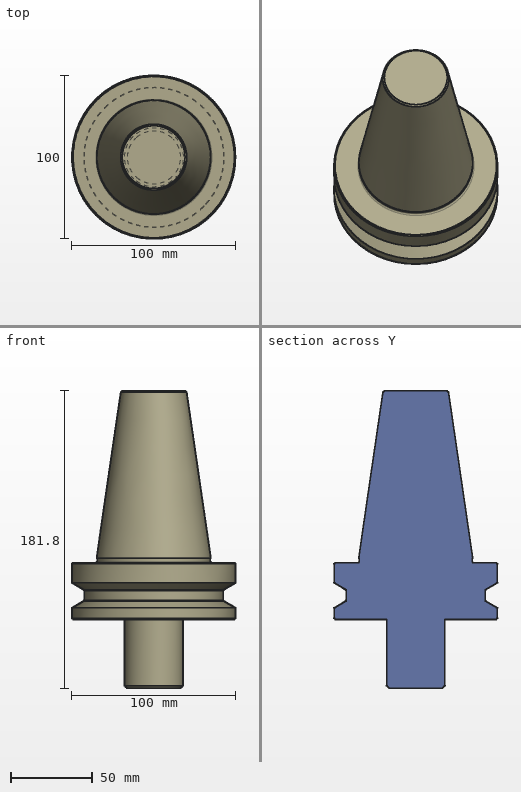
import cadquery as cq
import math

pin_length = 42.0
flange_height = 34.9
collar_height = 3.0
total_height = 181.8

gauge_radius = 34.9
taper_ratio = 7 / 24
gauge_land_height = 0.5
collar_radius = 34.5
collar_foot_radius = 0.9
tip_chamfer = 0.9

flange_radius = 50.0
lower_flange_chamfer = 0.9
upper_flange_chamfer = 0.7
lower_rim_height = 7.3
groove_floor_radius = 42.5
groove_floor_height = 6.5
groove_corner_radius = 0.5
groove_flank_angle = 30.0

pin_radius = 18.0
pin_chamfer = 1.8

flange_top = pin_length + flange_height
gauge_level = flange_top + collar_height
land_bottom = gauge_level - gauge_land_height
tip_radius = gauge_radius - (total_height - gauge_level) * taper_ratio / 2
flank_height = (flange_radius - groove_floor_radius) * math.tan(math.radians(groove_flank_angle))
groove_bottom = pin_length + lower_rim_height
groove_floor_bottom = groove_bottom + flank_height
groove_floor_top = groove_floor_bottom + groove_floor_height
groove_top = groove_floor_top + flank_height

pin_profile = [
    (0, 0),
    (pin_radius - pin_chamfer, 0),
    (pin_radius, pin_chamfer),
    (pin_radius, pin_length),
]
flange_profile = [
    (flange_radius - lower_flange_chamfer, pin_length),
    (flange_radius, pin_length + lower_flange_chamfer),
    (flange_radius, groove_bottom),
    (groove_floor_radius, groove_floor_bottom),
    (groove_floor_radius, groove_floor_top),
    (flange_radius, groove_top),
    (flange_radius, flange_top - upper_flange_chamfer),
    (flange_radius - upper_flange_chamfer, flange_top),
]
taper_profile = [
    (collar_radius, flange_top),
    (collar_radius, land_bottom),
    (gauge_radius, land_bottom),
    (gauge_radius, gauge_level),
    (tip_radius, total_height),
    (0, total_height),
]


def ring_edges(radius, height, margin=0.2):
    """Select the horizontal circular edges lying within a radius at a given height."""
    reach = radius + margin
    return cq.selectors.BoxSelector(
        (-reach, -reach, height - margin),
        (reach, reach, height + margin),
        boundingbox=True,
    )


body = (
    cq.Workplane("XZ")
    .polyline(pin_profile + flange_profile + taper_profile)
    .close()
    .revolve(360, (0, 0, 0), (0, 1, 0))
)

collar_foot = ring_edges(collar_radius, flange_top)
body = body.edges(collar_foot).fillet(collar_foot_radius)

for corner_height in (groove_floor_bottom, groove_floor_top):
    groove_corner = ring_edges(groove_floor_radius, corner_height)
    body = body.edges(groove_corner).fillet(groove_corner_radius)

result = body.faces(">Z").edges().chamfer(tip_chamfer)